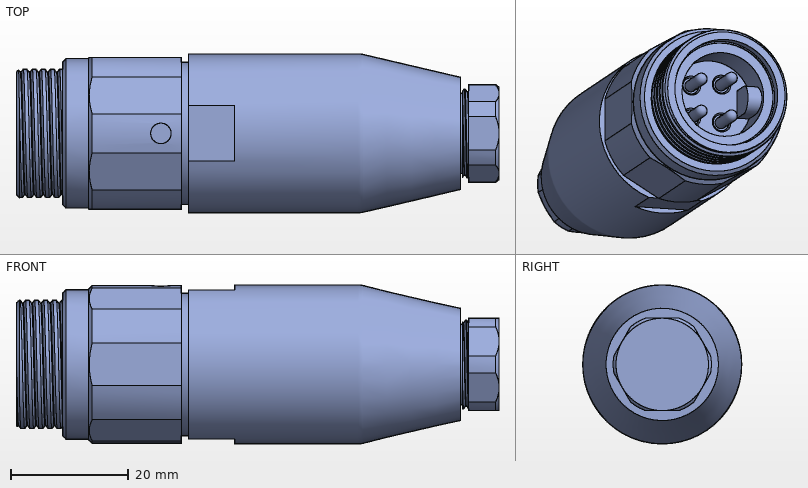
import cadquery as cq
import math


thread_end = 7.9
collar_end = 12.3
grip_end = 28.2
sleeve_start = 29.4
sleeve_end = 58.5
cone_start = 59.2
cone_end = 75.9
nut_start = 77.3
overall_length = 82.5

thread_dia = 22.0
thread_pitch = 1.55
thread_depth = 0.5
thread_root_x = 1.1
thread_groove_share = 0.6
thread_chamfer = 0.5
collar_dia = 25.6
collar_chamfer = 0.6
body_dia = 27.2
grip_dia = 27.0
grip_across_flats = 26.0
grip_chamfer = 0.65
groove_dia = 24.4
cone_end_dia = 19.2
nut_across_flats = 15.8
nut_dia = 16.8
nut_chamfer_length = 0.6
neck_relief_length = 0.3
neck_relief_dia = 13.8
neck_thread_dia = 15.2
neck_thread_pitch = 1.0
neck_thread_depth = 0.5
neck_thread_root_x = 76.35
neck_groove_share = 0.84

spanner_flat_length = 7.9
spanner_flat_offset = 12.75
grip_hole_dia = 3.5
grip_hole_x = 24.7
grip_hole_depth = 1.0

counterbore_dia = 18.4
ledge_width = 0.25
ledge_height = 0.25
counterbore_depth = 2.0
socket_dia = 14.6
socket_depth = 9.2
key_width = 4.8
key_tip_x = 3.0
key_inner_y = -4.8
pin_dia = 2.0
pin_tip_x = 2.5
pin_seat_dia = 2.8
pin_seat_depth = 0.5
pin_seat_chamfer = 0.25
pin_centres = [(3.4, 2.8), (3.4, -2.8), (-2.0, 3.3), (-2.0, -3.3)]


def cylinder(start, end, diameter, y=0.0, z=0.0):
    """Cylinder along X between two stations."""
    return cq.Workplane("YZ", origin=(start, y, z)).circle(diameter / 2).extrude(end - start)


def hexagon(start, end, across_flats, turn):
    """Hexagonal prism along X; turn 0 puts two corners on the Y axis."""
    corner_dia = across_flats / math.cos(math.pi / 6)
    prism = cq.Workplane("YZ", origin=(start, 0, 0)).polygon(6, corner_dia).extrude(end - start)
    return prism.rotate((0, 0, 0), (1, 0, 0), turn)


def threaded_rod(start, end, diameter, pitch, depth, root_x, groove_share, chamfer=0):
    """Rod along X with a helical V groove, cut turn by turn, running out at both ends.

    The groove has a narrow flat root that crosses the top of the rod at root_x;
    groove_share is the fraction of the pitch that the groove takes up at the crest.
    The chamfer is on the end at start.
    """
    radius = diameter / 2
    length = end - start
    root_radius = radius - depth
    clearance = 0.1
    root_half_width = 0.05 * pitch
    crest_half_width = groove_share * pitch / 2
    flank_slope = (crest_half_width - root_half_width) / depth
    mouth_half_width = crest_half_width + flank_slope * clearance
    groove_turn = (
        cq.Workplane("XZ")
        .moveTo(root_radius, -root_half_width)
        .lineTo(root_radius, root_half_width)
        .lineTo(radius + clearance, mouth_half_width)
        .lineTo(radius + clearance, -mouth_half_width)
        .close()
        .sweep(cq.Workplane(obj=cq.Wire.makeHelix(pitch, pitch, root_radius)), isFrenet=True)
    )
    rod = cq.Workplane("XY").circle(radius).extrude(length)
    if chamfer:
        rod = rod.faces("<Z").chamfer(chamfer)
    for turn in range(-1, math.ceil(length / pitch) + 1):
        rod = rod.cut(groove_turn.translate((0, 0, turn * pitch)))
    roll = 180 - 360 * (root_x - start) / pitch
    return (
        rod.rotate((0, 0, 0), (0, 1, 0), 90)
        .rotate((0, 0, 0), (1, 0, 0), roll)
        .translate((start, 0, 0))
    )


def mating_thread():
    """Threaded barrel around the socket."""
    return threaded_rod(
        0,
        thread_end,
        thread_dia,
        thread_pitch,
        thread_depth,
        thread_root_x,
        thread_groove_share,
        thread_chamfer,
    )


def collar():
    """Plain ring behind the mating thread, bevelled toward it."""
    ring = cylinder(thread_end, collar_end, collar_dia)
    return ring.faces("<X").chamfer(collar_chamfer)


def grip():
    """Hexagon with rounded corners, flats facing +Y and -Y, and a blind hole on top."""
    blank = cylinder(collar_end, grip_end, grip_dia).faces("<X").chamfer(grip_chamfer)
    body = blank.intersect(hexagon(collar_end, grip_end, grip_across_flats, 30))
    hole_floor = grip_dia / 2 - grip_hole_depth
    hole = (
        cq.Workplane("XY", origin=(grip_hole_x, 0, hole_floor))
        .circle(grip_hole_dia / 2)
        .extrude(2 * grip_hole_depth)
    )
    return body.cut(hole)


def sleeve():
    """Round sleeve running into the cone through a tangent arc."""
    body_radius = body_dia / 2
    blend_corner_x = (sleeve_end + cone_start) / 2
    slope = (body_radius - cone_end_dia / 2) / (cone_end - blend_corner_x)
    cone_angle = math.atan(slope)
    tangent_length = blend_corner_x - sleeve_end
    blend_radius = tangent_length / math.tan(cone_angle / 2)

    def blend_point(angle):
        drop = blend_radius * (1 - math.cos(angle))
        return sleeve_end + blend_radius * math.sin(angle), body_radius - drop

    turned = (
        cq.Workplane("XY")
        .moveTo(sleeve_start, 0)
        .lineTo(sleeve_start, body_radius)
        .lineTo(sleeve_end, body_radius)
        .threePointArc(blend_point(cone_angle / 2), blend_point(cone_angle))
        .lineTo(cone_end, cone_end_dia / 2)
        .lineTo(cone_end, 0)
        .close()
        .revolve(360, (0, 0, 0), (1, 0, 0))
    )
    for side in (1, -1):
        cutter = cq.Workplane("XY").box(
            spanner_flat_length, body_dia, body_dia, centered=(False, True, True)
        )
        cutter_z = side * (spanner_flat_offset + body_dia / 2)
        turned = turned.cut(cutter.translate((sleeve_start, 0, cutter_z)))
    return turned


def cable_nut():
    """Hexagon nut with flats facing +Z and -Z, bevelled at its outer end."""
    bevel = (nut_dia - nut_across_flats) / 2
    blank = cylinder(nut_start, overall_length, nut_dia)
    blank = blank.faces(">X").chamfer(nut_chamfer_length, bevel)
    return blank.intersect(hexagon(nut_start, overall_length, nut_across_flats, 0))


def neck():
    """Plain relief behind the cone followed by the short thread under the nut."""
    relief_end = cone_end + neck_relief_length
    relief = cylinder(cone_end, relief_end, neck_relief_dia)
    thread = threaded_rod(
        relief_end,
        nut_start,
        neck_thread_dia,
        neck_thread_pitch,
        neck_thread_depth,
        neck_thread_root_x,
        neck_groove_share,
    )
    return relief.union(thread)


def chamfered_recess(mouth, floor, diameter, chamfer):
    """Round cutter along X that flares by the chamfer at its mouth."""
    radius = diameter / 2
    return (
        cq.Workplane("XY")
        .moveTo(mouth, 0)
        .lineTo(mouth, radius + chamfer)
        .lineTo(mouth + chamfer, radius)
        .lineTo(floor, radius)
        .lineTo(floor, 0)
        .close()
        .revolve(360, (0, 0, 0), (1, 0, 0))
    )


def socket():
    """Stepped round recess in the mating face, with a chamfered ring seat around every pin."""
    ledge_dia = counterbore_dia - 2 * ledge_width
    recess = cylinder(0, counterbore_depth - ledge_height, counterbore_dia)
    recess = recess.union(cylinder(0, counterbore_depth, ledge_dia))
    recess = recess.union(cylinder(0, socket_depth, socket_dia))
    seat_floor = socket_depth + pin_seat_depth
    for y, z in pin_centres:
        seat = chamfered_recess(socket_depth, seat_floor, pin_seat_dia, pin_seat_chamfer)
        recess = recess.union(seat.translate((0, y, z)))
    return recess


def contact_pin(y, z):
    """Round pin with a hemispherical tip."""
    pin_radius = pin_dia / 2
    dome_base = pin_tip_x + pin_radius
    shank = cylinder(dome_base, socket_depth + 2 * pin_seat_depth, pin_dia, y, z)
    return shank.union(cq.Workplane("XY", origin=(dome_base, y, z)).sphere(pin_radius))


def coding_key():
    """Key on the -Y wall of the socket with a round nose toward the mating face."""
    nose_radius = key_width / 2
    nose_x = key_tip_x + nose_radius
    bar = (
        cq.Workplane("XZ", origin=(0, key_inner_y, 0))
        .moveTo(socket_depth, nose_radius)
        .lineTo(nose_x, nose_radius)
        .threePointArc((key_tip_x, 0), (nose_x, -nose_radius))
        .lineTo(socket_depth, -nose_radius)
        .close()
        .extrude(socket_dia / 2 + key_inner_y)
    )
    return bar.intersect(cylinder(0, socket_depth, socket_dia))


result = mating_thread().union(collar()).union(grip())
result = result.union(cylinder(grip_end, sleeve_start, groove_dia))
result = result.union(sleeve()).union(neck()).union(cable_nut())
result = result.cut(socket()).union(coding_key())
for pin_y, pin_z in pin_centres:
    result = result.union(contact_pin(pin_y, pin_z))